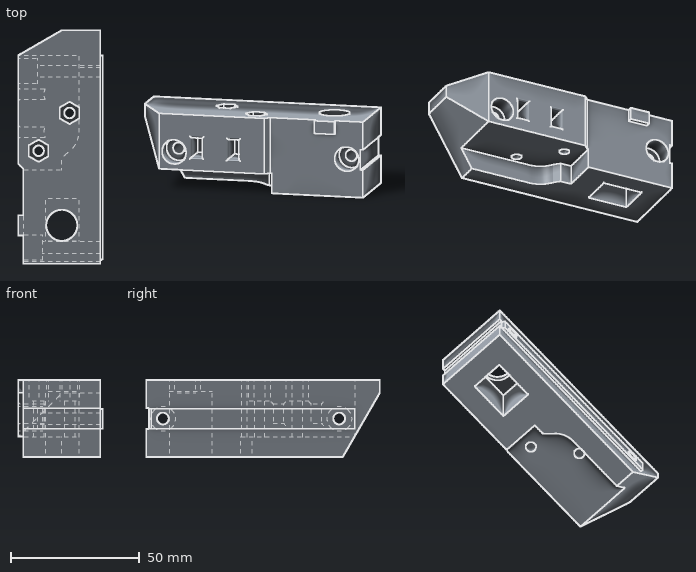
import cadquery as cq
import math

BODY_WIDTH = 30.0
BODY_LENGTH = 90.81
BODY_HEIGHT = 30.0

FLANGE_THICKNESS = 2.0
FLANGE_FRONT = 39.0
RECESS_HEIGHT = 8.0

BACK_SLOPE = math.radians(60)
BACK_LIP = 5.0

KEY_WIDTH = 8.0
BUMP_HEIGHT = 5.0
BUMP_CENTER_Y = 15.0
GROOVE_DEPTH = 1.0

RAIL_THICKNESS = 1.0
RAIL_HEIGHT = 7.75
RAIL_FRONT = 1.25
RAIL_CHAMFER = 0.75

RECESS_FRONT = 36.5
RECESS_RADIUS = 9.5
RECESS_ARC_END = math.radians(58)
RECESS_BEVEL = 2.15

NUT_CENTER = (12.0, 51.3)
NUT_OFFSET = (6.0, 7.35)
NUT_FLATS = 7.5
NUT_DEPTH = 8.0
NUT_HOLE_DIAMETER = 4.0

SCREW_POSITIONS_Y = (6.5, 75.0)
SCREW_DIAMETER = 4.5
COUNTERBORE_DIAMETER = 9.6
COUNTERBORE_DEPTH = 7.5

SLOT_POSITIONS_Y = (NUT_CENTER[1], NUT_CENTER[1] + 2 * NUT_OFFSET[1])
SLOT_CENTER_Z = 17.0
SLOT_WIDTH = 4.0
SLOT_HEIGHT = 7.5
SLOT_DEPTH = 10.0
SLOT_MOUTH_RADIUS = 1.0
SLOT_END_RADIUS = 5.0

BORE_CENTER = (15.0, 15.0)
BORE_DIAMETER = 12.0
CHAMBER_HEIGHT = 25.6
CHAMBER_WIDTH = 13.0
CHAMBER_BACK = 25.5

LEFT = -FLANGE_THICKNESS
MID_HEIGHT = BODY_HEIGHT / 2
SLOPE_BOTTOM_Z = BODY_HEIGHT - BACK_LIP
SLOPE_FOOT_Y = BODY_LENGTH - SLOPE_BOTTOM_Z / math.tan(BACK_SLOPE)
FLANGE_BACK = SLOPE_FOOT_Y + RECESS_HEIGHT / math.tan(BACK_SLOPE)
BACK_CORNER_X = LEFT + (BODY_LENGTH - FLANGE_BACK) * math.tan(BACK_SLOPE)


def box(x_range, y_range, z_range):
    """Box spanning the given (low, high) ranges."""
    size = [high - low for low, high in (x_range, y_range, z_range)]
    corner = (x_range[0], y_range[0], z_range[0])
    return cq.Workplane("XY").box(*size, centered=False).translate(corner)


def cylinder_along_x(diameter, x_range, y, z):
    length = x_range[1] - x_range[0]
    start = cq.Workplane("YZ", origin=(x_range[0], y, z))
    return start.circle(diameter / 2).extrude(length)


def make_body():
    """Block with the flange and the angled back corner, cut by the sloping underside."""
    outline = [
        (0, 0),
        (BODY_WIDTH, 0),
        (BODY_WIDTH, BODY_LENGTH),
        (BACK_CORNER_X, BODY_LENGTH),
        (LEFT, FLANGE_BACK),
        (LEFT, FLANGE_FRONT),
        (0, FLANGE_FRONT - FLANGE_THICKNESS),
    ]
    body = cq.Workplane("XY").polyline(outline).close().extrude(BODY_HEIGHT)
    wedge_outline = [(SLOPE_FOOT_Y, 0), (BODY_LENGTH, 0), (BODY_LENGTH, SLOPE_BOTTOM_Z)]
    wedge = cq.Workplane("YZ", origin=(LEFT, 0, 0)).polyline(wedge_outline).close()
    return body.cut(wedge.extrude(BODY_WIDTH + FLANGE_THICKNESS))


def make_recess():
    """Space under the flange: a straight wall, an arc, a bevel and a narrower front part."""
    center_x, center_y = NUT_CENTER

    def on_arc(angle):
        x = center_x + RECESS_RADIUS * math.cos(angle)
        y = center_y - RECESS_RADIUS * math.sin(angle)
        return (x, y)

    arc_end = on_arc(RECESS_ARC_END)
    bevel_end = (arc_end[0] - RECESS_BEVEL, arc_end[1] - RECESS_BEVEL)
    return (
        cq.Workplane("XY")
        .moveTo(LEFT, BODY_LENGTH)
        .lineTo(center_x + RECESS_RADIUS, BODY_LENGTH)
        .lineTo(*on_arc(0))
        .threePointArc(on_arc(RECESS_ARC_END / 2), arc_end)
        .lineTo(*bevel_end)
        .lineTo(bevel_end[0], RECESS_FRONT)
        .lineTo(LEFT, RECESS_FRONT)
        .close()
        .extrude(RECESS_HEIGHT)
    )


def make_bump():
    y_range = (BUMP_CENTER_Y - KEY_WIDTH / 2, BUMP_CENTER_Y + KEY_WIDTH / 2)
    return box((LEFT, 0), y_range, (BODY_HEIGHT - BUMP_HEIGHT, BODY_HEIGHT))


def make_front_groove():
    z_range = (MID_HEIGHT - KEY_WIDTH / 2, MID_HEIGHT + KEY_WIDTH / 2)
    return box((0, BODY_WIDTH), (0, GROOVE_DEPTH), z_range)


def make_rail():
    """Rail along the right face with a beveled front end."""
    tip_x = BODY_WIDTH + RAIL_THICKNESS
    outline = [
        (BODY_WIDTH, RAIL_FRONT),
        (tip_x, RAIL_FRONT + RAIL_CHAMFER),
        (tip_x, FLANGE_BACK),
        (BODY_WIDTH, FLANGE_BACK),
    ]
    bottom = cq.Workplane("XY").workplane(offset=MID_HEIGHT - KEY_WIDTH / 2)
    return bottom.polyline(outline).close().extrude(RAIL_HEIGHT)


def make_nut_trap(x, y):
    """Through hole with a hexagonal pocket sunk from the top, corners pointing along Y."""
    hole = cq.Workplane("XY").center(x, y).circle(NUT_HOLE_DIAMETER / 2).extrude(BODY_HEIGHT)
    corner_diameter = NUT_FLATS / math.cos(math.radians(30))
    hexagon = cq.Workplane("XY").polygon(6, corner_diameter).extrude(NUT_DEPTH)
    hexagon = hexagon.rotate((0, 0, 0), (0, 0, 1), 90)
    return hole.union(hexagon.translate((x, y, BODY_HEIGHT - NUT_DEPTH)))


def make_screw_hole(y, face_x):
    """Hole along X through the part, counterbored from the left face at face_x."""
    hole = cylinder_along_x(SCREW_DIAMETER, (face_x, BODY_WIDTH + RAIL_THICKNESS), y, MID_HEIGHT)
    counterbore_range = (face_x, face_x + COUNTERBORE_DEPTH)
    return hole.union(cylinder_along_x(COUNTERBORE_DIAMETER, counterbore_range, y, MID_HEIGHT))


def make_slot(y):
    """Blind slot along X; its end wall bulges toward the opening, up to SLOT_DEPTH."""
    end_x = LEFT + SLOT_DEPTH + SLOT_END_RADIUS
    y_range = (y - SLOT_WIDTH / 2, y + SLOT_WIDTH / 2)
    z_range = (SLOT_CENTER_Z - SLOT_HEIGHT / 2, SLOT_CENTER_Z + SLOT_HEIGHT / 2)
    slot = box((LEFT, end_x), y_range, z_range)
    post = cq.Workplane("XY").circle(SLOT_END_RADIUS).extrude(BODY_HEIGHT)
    return slot.cut(post.translate((end_x, y, 0)))


def round_slot_mouth(part, y):
    """Round over the four edges where a slot opens into the flange face."""
    reach = 0.1
    y_half = SLOT_WIDTH / 2 + reach
    z_half = SLOT_HEIGHT / 2 + reach
    mouth = cq.selectors.BoxSelector(
        (LEFT - reach, y - y_half, SLOT_CENTER_Z - z_half),
        (LEFT + reach, y + y_half, SLOT_CENTER_Z + z_half),
    )
    return part.edges(mouth).fillet(SLOT_MOUTH_RADIUS)


def make_bore():
    """Vertical bore over a rectangular chamber that extends backward from it."""
    x, y = BORE_CENTER
    bore = cq.Workplane("XY").center(x, y).circle(BORE_DIAMETER / 2).extrude(BODY_HEIGHT)
    chamber = box(
        (x - CHAMBER_WIDTH / 2, x + CHAMBER_WIDTH / 2),
        (y - BORE_DIAMETER / 2, CHAMBER_BACK),
        (0, CHAMBER_HEIGHT),
    )
    return bore.union(chamber)


result = make_body().cut(make_recess()).union(make_bump()).union(make_rail())
result = result.cut(make_front_groove()).cut(make_bore())

for side in (-1, 1):
    nut_x = NUT_CENTER[0] + side * NUT_OFFSET[0]
    nut_y = NUT_CENTER[1] + side * NUT_OFFSET[1]
    result = result.cut(make_nut_trap(nut_x, nut_y))

for screw_y, screw_face_x in zip(SCREW_POSITIONS_Y, (0, LEFT)):
    result = result.cut(make_screw_hole(screw_y, screw_face_x))

for slot_y in SLOT_POSITIONS_Y:
    result = round_slot_mouth(result.cut(make_slot(slot_y)), slot_y)